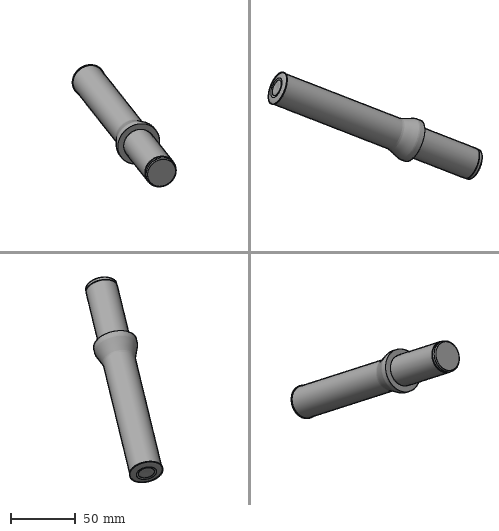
import cadquery as cq

total_length = 182.0
head_diameter = 26.4
body_diameter = 25.5
flange_diameter = 34.0
shank_diameter = 25.0
relief_diameter = 24.5

head_end = 1.6
cone_start = 108.8
flange_start = 121.0
flange_end = 125.5
neck_end = 126.5
neck_taper_end = 127.4
end_taper_start = 178.4
end_land_start = 178.9

shank_end_chamfer = 1.0
cone_root_radius = 4.7
cone_rim_radius = 3.6

outer_ridge_diameter = 16.0
valley_diameter = 12.7
inner_ridge_diameter = 9.3
valley_depth = 0.4
centre_depth = 0.4
face_diameter = 22.5
face_fall = 0.4
rim_fall = 1.0


def revolve_about_x(points):
    """Turn a closed outline of (x, radius) points into a solid."""
    return cq.Workplane("XY").polyline(points).close().revolve(360, (0, 0, 0), (1, 0, 0))


def circle_at(x, diameter):
    """Select the circular edge of a given diameter at a station along X."""
    reach = diameter / 2 + 0.02
    half_width = 0.02
    return cq.selectors.BoxSelector(
        (x - half_width, -reach, -reach), (x + half_width, reach, reach), boundingbox=True
    )


def make_cutting_head():
    """Thin disc with a ridged cutting face and a bevelled rim."""
    head_radius = head_diameter / 2
    return revolve_about_x([
        (centre_depth, 0),
        (0, inner_ridge_diameter / 2),
        (valley_depth, valley_diameter / 2),
        (0, outer_ridge_diameter / 2),
        (face_fall, face_diameter / 2),
        (rim_fall, head_radius),
        (head_end, head_radius),
        (head_end, 0),
    ])


def make_holder():
    """Drill body flaring into the stop flange, followed by the clamping shank."""
    body_radius = body_diameter / 2
    flange_radius = flange_diameter / 2
    shank_radius = shank_diameter / 2
    relief_radius = relief_diameter / 2
    holder = revolve_about_x([
        (head_end, 0),
        (head_end, body_radius),
        (cone_start, body_radius),
        (flange_start, flange_radius),
        (flange_end, flange_radius),
        (flange_end, relief_radius),
        (neck_end, relief_radius),
        (neck_taper_end, shank_radius),
        (end_taper_start, shank_radius),
        (end_land_start, relief_radius),
        (total_length - shank_end_chamfer, relief_radius),
        (total_length, relief_radius - shank_end_chamfer),
        (total_length, 0),
    ])
    holder = holder.edges(circle_at(cone_start, body_diameter)).fillet(cone_root_radius)
    return holder.edges(circle_at(flange_start, flange_diameter)).fillet(cone_rim_radius)


cutting_head = make_cutting_head()
holder = make_holder()
result = cq.Compound.makeCompound([cutting_head.val(), holder.val()])